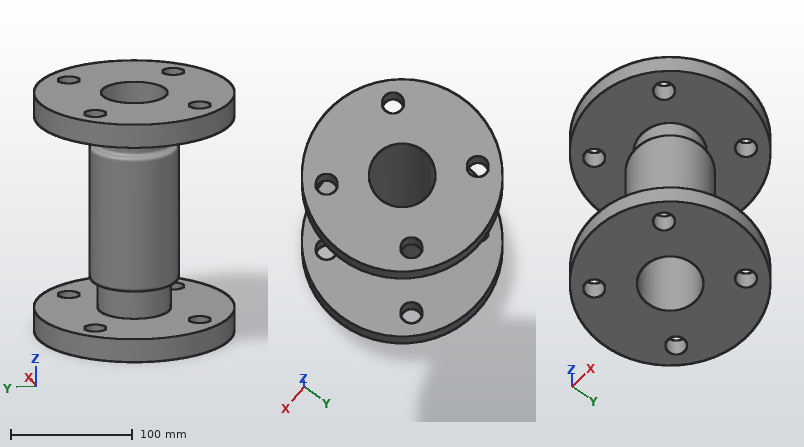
import cadquery as cq

total_height = 206.0
half_height = total_height / 2

flange_diameter = 165.0
flange_thickness = 20.0
bolt_circle_diameter = 125.0
bolt_hole_diameter = 18.0
bolt_count = 4
first_bolt_angle = 45.0

pipe_diameter = 60.4
bore_diameter = 54.5

sleeve_diameter = 73.5
sleeve_height = 116.2
shoulder_radius = 3.0
root_radius = 2.9


def flange(bottom_z):
    """Round flange with its bolt holes, standing on the given level."""
    return (
        cq.Workplane("XY")
        .workplane(offset=bottom_z)
        .circle(flange_diameter / 2)
        .extrude(flange_thickness)
        .faces(">Z")
        .workplane()
        .polarArray(bolt_circle_diameter / 2, first_bolt_angle, 360, bolt_count)
        .hole(bolt_hole_diameter)
    )


def pipe_with_sleeve():
    """Solid pipe and sleeve, revolved about Z from a half outline in the XZ plane."""
    pipe_radius = pipe_diameter / 2
    sleeve_radius = sleeve_diameter / 2
    sleeve_end = sleeve_height / 2
    root_end = sleeve_end + root_radius
    shoulder_start = sleeve_end - shoulder_radius
    root_edge = pipe_radius + root_radius
    shoulder_edge = sleeve_radius - shoulder_radius
    return (
        cq.Workplane("XZ")
        .moveTo(0, -half_height)
        .lineTo(pipe_radius, -half_height)
        .lineTo(pipe_radius, -root_end)
        .radiusArc((root_edge, -sleeve_end), root_radius)
        .lineTo(shoulder_edge, -sleeve_end)
        .radiusArc((sleeve_radius, -shoulder_start), -shoulder_radius)
        .lineTo(sleeve_radius, shoulder_start)
        .radiusArc((shoulder_edge, sleeve_end), -shoulder_radius)
        .lineTo(root_edge, sleeve_end)
        .radiusArc((pipe_radius, root_end), root_radius)
        .lineTo(pipe_radius, half_height)
        .lineTo(0, half_height)
        .close()
        .revolve(360, (0, 0, 0), (0, 1, 0))
    )


bore = cq.Workplane("XY").cylinder(total_height, bore_diameter / 2)

result = pipe_with_sleeve()
for flange_bottom in (-half_height, half_height - flange_thickness):
    result = result.union(flange(flange_bottom))
result = result.cut(bore)